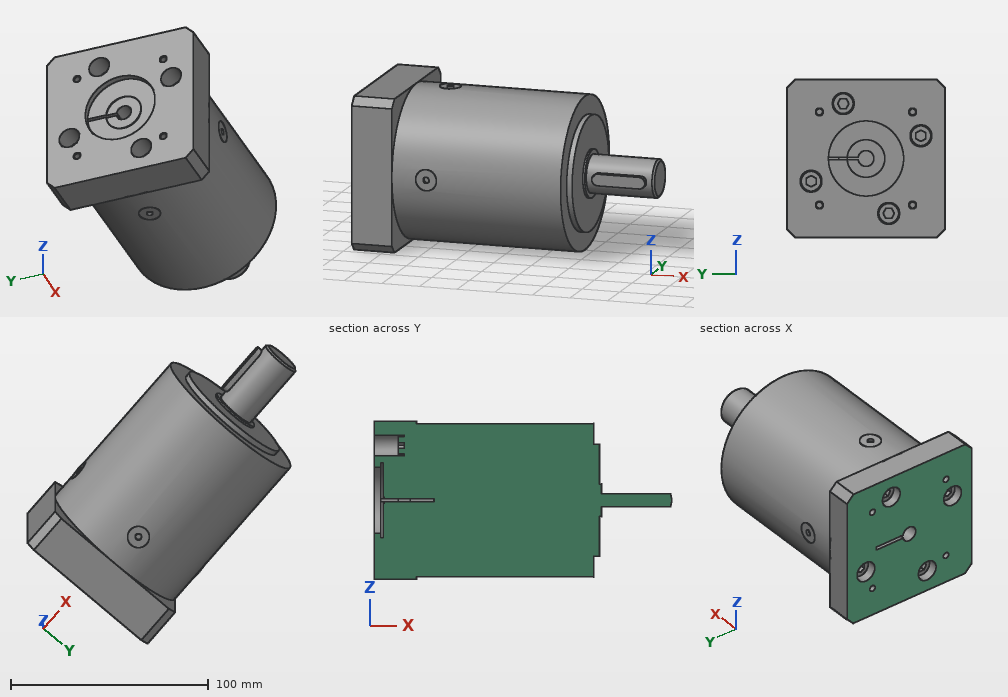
import cadquery as cq
import math


flange_side = 80.0
flange_thickness = 21.5
flange_corner_chamfer = 4.2

housing_diameter = flange_side
housing_end = 111.1
pilot_diameter = 60.0
pilot_end = 114.0
collar_diameter = 25.0
collar_end = 115.0
shaft_diameter = 20.0
shaft_end = 151.0
shaft_chamfer = 1.0

key_length = 28.2
key_width = 6.0
key_center_x = 132.9
key_top_radius = 12.5
key_seat_radius = shaft_diameter / 4

spigot_diameter = 38.0
spigot_depth = 3.3
cavity_diameter = 42.0
cavity_floor = 4.5
hub_recess_diameter = 19.0
hub_recess_depth = 0.5
bore_diameter = 8.0
bore_depth = 30.2
slit_width = 1.5
clamp_radius = 13.9
slit_clamp_depth = 18.1
slit_outer_depth = 12.1

screw_count = 4
screw_circle_radius = 30.0
screw_first_angle = 67.5
screw_hole_diameter = 11.0
screw_hole_depth = 15.1
screw_head_diameter = 10.0
screw_head_depth = 12.1
screw_hex_flats = 5.0
screw_hex_depth = 3.0

mount_spacing = 47.1
mount_hole_diameter = 3.2
mount_mouth_diameter = 4.0
mount_hole_depth = 15.1

plug_count = 4
plug_x = 39.5
plug_diameter = 11.0
plug_face_radius = 39.9
plug_height = 3.0
plug_hole_diameter = 3.2
plug_hole_depth = 1.5


def x_disc(diameter, start, end):
    """Cylinder on the gearbox axis between two X positions."""
    return cq.Workplane("YZ", origin=(start, 0, 0)).circle(diameter / 2).extrude(end - start)


def make_flange():
    blank = cq.Workplane("YZ").rect(flange_side, flange_side).extrude(flange_thickness)
    return blank.edges("|X").chamfer(flange_corner_chamfer)


def make_shaft():
    shaft = x_disc(shaft_diameter, collar_end, shaft_end).faces(">X").chamfer(shaft_chamfer)
    key = (
        cq.Workplane("XZ", origin=(key_center_x, -key_seat_radius, 0))
        .slot2D(key_length, key_width)
        .extrude(key_top_radius - key_seat_radius)
    )
    return shaft.union(key)


def make_socket():
    """Spigot recess, wider cavity, hub recess, bore and stepped clamping slit, as one cutting body."""
    socket = x_disc(spigot_diameter, 0, cavity_floor)
    socket = socket.union(x_disc(cavity_diameter, spigot_depth, cavity_floor))
    socket = socket.union(x_disc(hub_recess_diameter, 0, cavity_floor + hub_recess_depth))
    socket = socket.union(x_disc(bore_diameter, 0, bore_depth))
    slit_steps = (
        (hub_recess_diameter / 2, bore_depth),
        (clamp_radius, slit_clamp_depth),
        (cavity_diameter / 2, slit_outer_depth),
    )
    for reach, depth in slit_steps:
        slit = cq.Workplane("XY", origin=(spigot_depth, 0, 0)).box(
            depth - spigot_depth, reach, slit_width, centered=(False, False, True)
        )
        socket = socket.union(slit)
    return socket


def make_screw_holes():
    """Clearance holes, each leaving a screw head with a hexagon socket standing on its floor."""
    holes = cq.Workplane("YZ")
    hex_corner_diameter = screw_hex_flats / math.cos(math.pi / 6)
    angle = math.radians(screw_first_angle)
    y = screw_circle_radius * math.cos(angle)
    z = screw_circle_radius * math.sin(angle)
    mouth = cq.Workplane("YZ").center(y, z)
    head_top = cq.Workplane("YZ", origin=(screw_head_depth, 0, 0)).center(y, z)
    hole = mouth.circle(screw_hole_diameter / 2).extrude(screw_hole_depth)
    head = head_top.circle(screw_head_diameter / 2).extrude(screw_hole_depth - screw_head_depth)
    hexagon = head_top.polygon(6, hex_corner_diameter).extrude(screw_hex_depth)
    hole = hole.cut(head).union(hexagon)
    for index in range(screw_count):
        holes = holes.add(hole.rotate((0, 0, 0), (1, 0, 0), 360 / screw_count * index))
    return holes.combine()


def make_mount_holes():
    """Mounting holes with a 45 degree countersunk mouth."""
    half_spacing = mount_spacing / 2
    mouth_depth = (mount_mouth_diameter - mount_hole_diameter) / 2
    holes = cq.Workplane("YZ")
    for y in (-half_spacing, half_spacing):
        for z in (-half_spacing, half_spacing):
            center = cq.Workplane("YZ").center(y, z)
            hole = center.circle(mount_hole_diameter / 2).extrude(mount_hole_depth)
            mouth = center.circle(mount_mouth_diameter / 2).extrude(mouth_depth, taper=45)
            holes = holes.add(hole.union(mouth))
    return holes.combine()


def make_plug():
    """Top plug as two bodies: the metal to add, then the space to clear above and into its face."""
    face = cq.Workplane("XY", origin=(plug_x, 0, plug_face_radius))
    plug = face.circle(plug_diameter / 2).extrude(-plug_height)
    clearance = face.circle(plug_diameter / 2).extrude(housing_diameter / 2 - plug_face_radius)
    hole = face.circle(plug_hole_diameter / 2).extrude(-plug_hole_depth)
    return plug, clearance.union(hole)


result = make_flange()
result = result.union(x_disc(housing_diameter, flange_thickness, housing_end))
result = result.union(x_disc(pilot_diameter, housing_end, pilot_end))
result = result.union(x_disc(collar_diameter, pilot_end, collar_end))
result = result.union(make_shaft())
result = result.cut(make_socket())
result = result.cut(make_screw_holes())
result = result.cut(make_mount_holes())

plug_body, plug_space = make_plug()
for plug_index in range(plug_count):
    turn = 360 / plug_count * plug_index
    result = result.union(plug_body.rotate((0, 0, 0), (1, 0, 0), turn))
    result = result.cut(plug_space.rotate((0, 0, 0), (1, 0, 0), turn))